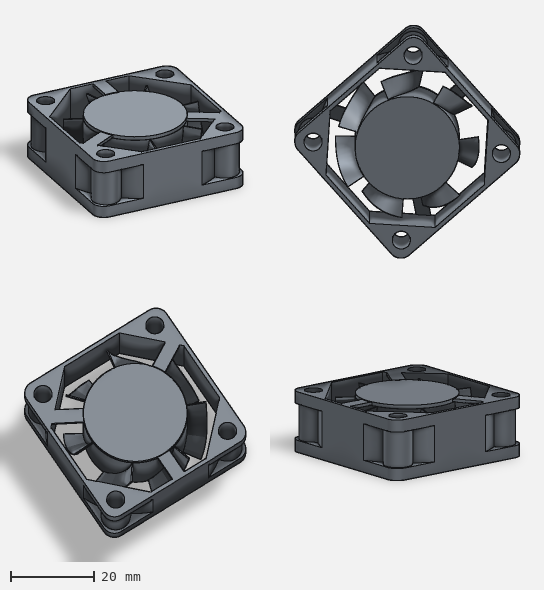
import cadquery as cq
import math

side = 40.0
height = 15.0
corner_radius = 3.0
opening_sides = 8
opening_apothem = 19.0

flange_thickness = 3.0
hole_offset = 16.0
hole_diameter = 4.3
post_diameter = 7.0
recess_wall_diameter = 43.0

plate_diameter = 24.9
plate_thickness = 0.9
strut_thickness = 0.8
strut_width = 3.45
groove_depth = 0.2
strut_count = 3
first_strut_angle = 60.0

rotor_radius = 12.5
rotor_top = height - plate_thickness
blade_tip_radius = 17.25
blade_root_depth = 0.6
blade_root_radius = rotor_radius - blade_root_depth
blade_count = 7
first_blade_angle = 75.9
blade_top = rotor_top
blade_bottom = 0.8
bevel_height = 0.6

blade_tip_back = (17.3, blade_top)
blade_tip_front = (16.1, blade_top)
front_bevel = (15.6, blade_top - bevel_height)
front_upper = (8.5, 8.0)
front_middle = (-1.6, 4.0)
front_lower = (-13.7, 1.35)
blade_tail = (-17.4, blade_bottom)
back_middle = (-1.6, 3.4)
back_upper = (11.5, 9.2)
back_bevel = (17.0, blade_top - bevel_height)


def opening():
    """Regular octagon through the frame, with flats parallel to the sides."""
    octagon_circle = 2 * opening_apothem / math.cos(math.pi / opening_sides)
    octagon = cq.Workplane("XY").polygon(opening_sides, octagon_circle).extrude(height)
    return octagon.rotate((0, 0, 0), (0, 0, 1), 180 / opening_sides)


def frame_blank():
    """Square block with rounded corners and the octagonal opening."""
    block = cq.Workplane("XY").rect(side, side).extrude(height)
    return block.edges("|Z").fillet(corner_radius).cut(opening())


def corner_recesses():
    """Space between the flanges outside the round wall, less the posts and their equally wide webs."""
    depth = height - 2 * flange_thickness
    level = cq.Workplane("XY").workplane(offset=flange_thickness)
    space = level.rect(2 * side, 2 * side).circle(recess_wall_diameter / 2).extrude(depth)
    hole_distance = hole_offset * math.sqrt(2)
    for quarter in range(4):
        web = level.center(hole_distance / 2, 0).rect(hole_distance, post_diameter).extrude(depth)
        post = level.center(hole_distance, 0).circle(post_diameter / 2).extrude(depth)
        corner = web.union(post).rotate((0, 0, 0), (0, 0, 1), 45 + 90 * quarter)
        space = space.cut(corner)
    return space


def mounting_holes():
    """Through holes on the axes of the posts."""
    holes = cq.Workplane("XY").rect(2 * hole_offset, 2 * hole_offset, forConstruction=True)
    return holes.vertices().circle(hole_diameter / 2).extrude(height)


def hub_plate():
    """Disc closing the rotor, flush with the top of the frame."""
    level = cq.Workplane("XY").workplane(offset=height - plate_thickness)
    return level.circle(plate_diameter / 2).extrude(plate_thickness)


def struts():
    """Flat arms from the middle to the walls of the opening, flush with the top."""
    level = cq.Workplane("XY").workplane(offset=height - strut_thickness)
    reach = side / 2 + corner_radius
    arm = level.center(reach / 2, 0).rect(reach, strut_width).extrude(strut_thickness)
    arms = cq.Workplane("XY")
    for i in range(strut_count):
        angle = first_strut_angle + i * 360 / strut_count
        arms = arms.add(arm.rotate((0, 0, 0), (0, 0, 1), angle))
    return arms.combine().intersect(opening())


def blade_section(distance):
    """Closed blade outline on the plane x = distance, widened in step with the distance."""

    def at(station):
        angle, z = station
        return cq.Vector(distance, distance * math.tan(math.radians(angle)), z)

    def curve(*stations):
        return cq.Edge.makeSpline([at(s) for s in stations])

    def line(start, end):
        return cq.Edge.makeLine(at(start), at(end))

    return cq.Wire.assembleEdges([
        line(blade_tip_back, blade_tip_front),
        line(blade_tip_front, front_bevel),
        curve(front_bevel, front_upper, front_middle),
        line(front_middle, front_lower),
        line(front_lower, blade_tail),
        curve(blade_tail, back_middle, back_upper, back_bevel),
        line(back_bevel, blade_tip_back),
    ])


def blade():
    """Curved plate between the rotor and the blade tips, with radial edges, rooted in the rotor."""
    inner_plane = blade_root_radius * math.cos(math.radians(blade_tip_back[0] - blade_tail[0]))
    plate = cq.Solid.makeLoft([blade_section(inner_plane), blade_section(blade_tip_radius)], True)
    ring = cq.Workplane("XY").circle(blade_tip_radius).circle(blade_root_radius).extrude(height)
    return ring.intersect(cq.Workplane(plate))


def rotor():
    """Solid drum with evenly spaced blades."""
    body = cq.Workplane("XY").circle(rotor_radius).extrude(rotor_top)
    one_blade = blade()
    for i in range(blade_count):
        angle = first_blade_angle + i * 360 / blade_count
        body = body.union(one_blade.rotate((0, 0, 0), (0, 0, 1), angle))
    return body


def plate_groove():
    """Shallow ring around the hub plate that sets it off from the struts."""
    level = cq.Workplane("XY").workplane(offset=height - groove_depth)
    return level.circle(rotor_radius).circle(plate_diameter / 2).extrude(groove_depth)


frame = frame_blank().cut(corner_recesses()).cut(mounting_holes())
hub = hub_plate().union(struts()).cut(plate_groove())
result = frame.union(hub).union(rotor())